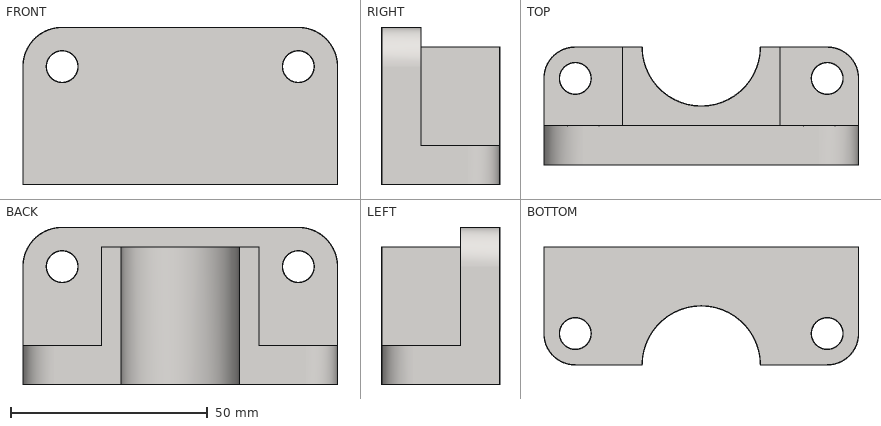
import cadquery as cq

width = 80.0
depth = 30.0
height = 40.0

thickness = 10.0
plate_corner_radius = 10.0
flange_corner_radius = 8.0
hole_diameter = 8.0

block_width = 40.0
block_height = height - thickness / 2
saddle_diameter = 30.0


def box_from_front(size_x, size_y, size_z):
    """Box centred on X, with its front face on Y = 0 and its bottom on Z = 0."""
    return cq.Workplane("XY").box(size_x, size_y, size_z, centered=(True, False, False))


def mirrored_points(corner_radius, edge_position):
    """Left and right centres of the rounded corners next to the given edge."""
    x = width / 2 - corner_radius
    y = edge_position - corner_radius
    return [(-x, y), (x, y)]


plate = box_from_front(width, thickness, height)
plate = plate.edges("|Y and >Z").fillet(plate_corner_radius)
plate_holes = (
    cq.Workplane("XZ")
    .pushPoints(mirrored_points(plate_corner_radius, height))
    .circle(hole_diameter / 2)
    .extrude(-thickness)
)

flange = box_from_front(width, depth, thickness)
flange = flange.edges("|Z and >Y").fillet(flange_corner_radius)
flange_holes = (
    cq.Workplane("XY")
    .pushPoints(mirrored_points(flange_corner_radius, depth))
    .circle(hole_diameter / 2)
    .extrude(thickness)
)

block = box_from_front(block_width, depth, block_height)
saddle = cq.Workplane("XY").center(0, depth).circle(saddle_diameter / 2).extrude(block_height)

result = plate.union(flange).union(block)
result = result.cut(plate_holes).cut(flange_holes).cut(saddle)